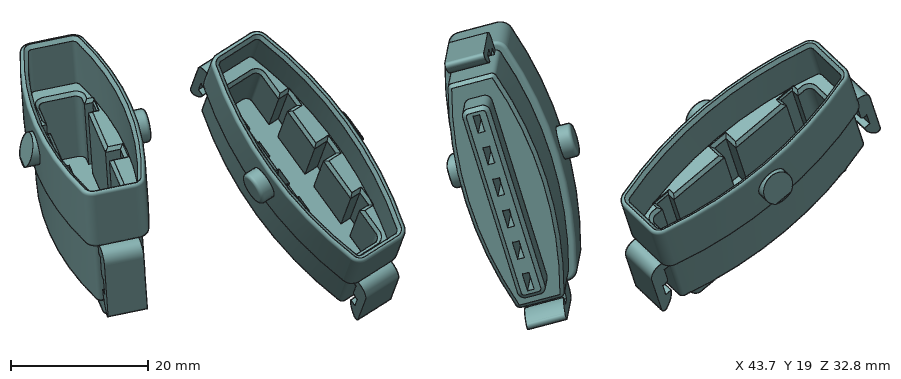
import cadquery as cq
import math

TILT = 12.4

SHELL_HALF_LENGTH = 19.0
SHELL_HALF_WIDTH = 7.4
SHELL_END_HALF_WIDTH = 4.35
SHELL_CORNER_RADIUS = 1.9
SHELL_TOP = 4.5
SHELL_BOTTOM = -5.4
WALL = 1.2
RIM_RADIUS = 0.52
RIM_CHAMFER = 0.55

BODY_BOTTOM = -16.6
BODY_CHAMFER = 0.55
FLOOR = -3.8

TONGUE_LENGTH = 30.05
TONGUE_WIDTH = 4.2
TONGUE_BOTTOM = -21.8
TONGUE_CORNER_RADIUS = 1.1
TONGUE_CHAMFER = 0.6

POCKET_LENGTH = 31.0
POCKET_WIDTH = 6.45
POCKET_CORNER_RADIUS = 1.05
POCKET_FLOOR = -15.4
POCKET_CHAMFER = 0.52
NOTCH_LENGTH = 2.23
CENTRE_NOTCH_REACH = 5.45
FRONT_NOTCH_REACH = 4.9
REAR_NOTCH_REACH = 4.5
REAR_MOUTH_REACH = 4.75
FRONT_NOTCH_OFFSET = 9.13
REAR_NOTCH_OFFSET = 12.05

SLOT_COUNT = 6
SLOT_PITCH = 5.02
SLOT_LENGTH = 2.65
SLOT_WIDTH = 1.0

PIN_DIAMETER = 5.0
PIN_SPAN = 19.0
PIN_REACH = PIN_SPAN / 2
PIN_EDGE_RADIUS = 0.52
RAMP_EDGE = -2.0
RAMP_ANGLE = 20.0

CLIP_WIDTH = 5.95
CLIP_OUTER = 21.22
CLIP_INNER = 18.78
CLIP_RECESS = 19.83
CLIP_THICKNESS = 2.0
CLIP_BEND_RADIUS = 1.9
CLIP_STEP = -10.87
CLIP_STEP_RADIUS = 0.6
CLIP_HOOK = -13.45
HOOK_FLANK_MIDDLE = (19.25, -15.3)
HOOK_FLANK_END = (20.18, -16.6)
CLIP_TIP = (20.65, -16.95)
CLIP_TIP_START = -16.4


def barrel(inset, bottom, top):
    """Upright prism with the housing outline moved inwards by `inset`."""
    outline = (
        cq.Workplane("XY", origin=(0, 0, bottom))
        .moveTo(-SHELL_HALF_LENGTH, -SHELL_END_HALF_WIDTH)
        .threePointArc((0, -SHELL_HALF_WIDTH), (SHELL_HALF_LENGTH, -SHELL_END_HALF_WIDTH))
        .lineTo(SHELL_HALF_LENGTH, SHELL_END_HALF_WIDTH)
        .threePointArc((0, SHELL_HALF_WIDTH), (-SHELL_HALF_LENGTH, SHELL_END_HALF_WIDTH))
        .close()
    )
    if inset:
        outline = outline.offset2D(-inset, "intersection")
    return outline.extrude(top - bottom).edges("|Z").fillet(SHELL_CORNER_RADIUS - inset)


def block(length, width, bottom, top, center=(0, 0)):
    return (
        cq.Workplane("XY", origin=(*center, bottom))
        .rect(length, width)
        .extrude(top - bottom)
    )


def housing():
    shell = barrel(0, SHELL_BOTTOM, SHELL_TOP).faces("<Z or >Z").edges().fillet(RIM_RADIUS)
    body = barrel(WALL, BODY_BOTTOM, FLOOR).faces("<Z").chamfer(BODY_CHAMFER)
    tongue = (
        block(TONGUE_LENGTH, TONGUE_WIDTH, TONGUE_BOTTOM, POCKET_FLOOR)
        .edges("|Z").fillet(TONGUE_CORNER_RADIUS)
        .faces("<Z").chamfer(TONGUE_CHAMFER)
    )
    return shell.union(body).union(tongue)


def flare(prism, height, top):
    """Cutter widening the outline of `prism` at 45 degrees over `height` up to `top`."""
    bottom = prism.val().BoundingBox().zmin
    mouth = prism.faces("<Z").wires().toPending().offset2D(height, "intersection")
    return mouth.extrude(-height, taper=45, combine=False).translate((0, 0, top - bottom))


def cavity():
    """Open space inside the shell, flaring out to the rim."""
    space = barrel(WALL, FLOOR, SHELL_TOP)
    return space.union(flare(space, RIM_CHAMFER, SHELL_TOP))


def flared(recess):
    """Add the chamfered mouth at the cavity floor to a recess cutter."""
    return recess.union(flare(recess, POCKET_CHAMFER, FLOOR))


def notch(x, reach):
    """Coding notch cutter from the mid-plane out to y = `reach`."""
    return flared(block(NOTCH_LENGTH, abs(reach), POCKET_FLOOR, FLOOR, (x, reach / 2)))


def contact_pocket():
    pocket = flared(
        block(POCKET_LENGTH, POCKET_WIDTH, POCKET_FLOOR, FLOOR)
        .edges("|Z").fillet(POCKET_CORNER_RADIUS)
    )
    rear_limit = block(2 * SHELL_HALF_LENGTH, 2 * REAR_MOUTH_REACH, POCKET_FLOOR, FLOOR)
    for side in (-1, 1):
        pocket = pocket.union(notch(0, side * CENTRE_NOTCH_REACH))
        pocket = pocket.union(notch(side * FRONT_NOTCH_OFFSET, -FRONT_NOTCH_REACH))
        rear_notch = notch(side * REAR_NOTCH_OFFSET, REAR_NOTCH_REACH)
        pocket = pocket.union(rear_notch.intersect(rear_limit))
    return pocket


def contact_slots():
    return (
        cq.Workplane("XY", origin=(0, 0, TONGUE_BOTTOM))
        .rarray(SLOT_PITCH, 0.45, SLOT_COUNT, 1)
        .rect(SLOT_LENGTH, SLOT_WIDTH)
        .extrude(POCKET_FLOOR - TONGUE_BOTTOM)
    )


def pin(side):
    """Round pin standing on the bowed wall; `side` is -1 for front, 1 for rear."""
    root = SHELL_HALF_WIDTH - WALL / 2
    return (
        cq.Workplane("XZ", origin=(0, side * root, 0))
        .circle(PIN_DIAMETER / 2)
        .extrude(-side * (PIN_REACH - root))
    )


def front_pin():
    """Pin whose tip is cut by a ramp, leaving a small flat at its lower edge."""
    ramp_height = PIN_DIAMETER
    ramp_depth = ramp_height * math.tan(math.radians(RAMP_ANGLE))
    ramp = (
        cq.Workplane("YZ")
        .moveTo(-PIN_REACH, RAMP_EDGE)
        .line(ramp_depth, ramp_height)
        .line(-ramp_depth, 0)
        .close()
        .extrude(PIN_DIAMETER, both=True)
    )
    return pin(-1).cut(ramp)


def rear_pin():
    return pin(1).faces(">Y").edges().fillet(PIN_EDGE_RADIUS)


def clip():
    """Latch clip on the +X end: an arm bent down from the body with a hook at its tip."""
    root = SHELL_HALF_LENGTH - 2 * WALL
    bend_start = CLIP_OUTER - CLIP_BEND_RADIUS
    bend_end = SHELL_BOTTOM - CLIP_BEND_RADIUS
    return (
        cq.Workplane("XZ", origin=(0, CLIP_WIDTH / 2, 0))
        .moveTo(root, SHELL_BOTTOM)
        .lineTo(bend_start, SHELL_BOTTOM)
        .radiusArc((CLIP_OUTER, bend_end), CLIP_BEND_RADIUS)
        .lineTo(CLIP_OUTER, CLIP_TIP_START)
        .threePointArc(CLIP_TIP, HOOK_FLANK_END)
        .threePointArc(HOOK_FLANK_MIDDLE, (CLIP_INNER, CLIP_HOOK))
        .lineTo(CLIP_RECESS, CLIP_HOOK)
        .lineTo(CLIP_RECESS, CLIP_STEP)
        .lineTo(CLIP_INNER + CLIP_STEP_RADIUS, CLIP_STEP)
        .radiusArc((CLIP_INNER, CLIP_STEP + CLIP_STEP_RADIUS), CLIP_STEP_RADIUS)
        .lineTo(CLIP_INNER, SHELL_BOTTOM - CLIP_THICKNESS)
        .lineTo(root, SHELL_BOTTOM - CLIP_THICKNESS)
        .close()
        .extrude(CLIP_WIDTH)
    )


part = housing().union(front_pin()).union(rear_pin())
part = part.union(clip()).union(clip().mirror("YZ"))
part = part.cut(cavity()).cut(contact_pocket()).cut(contact_slots())
result = part.solids().rotate((0, 0, 0), (0, 1, 0), -TILT)